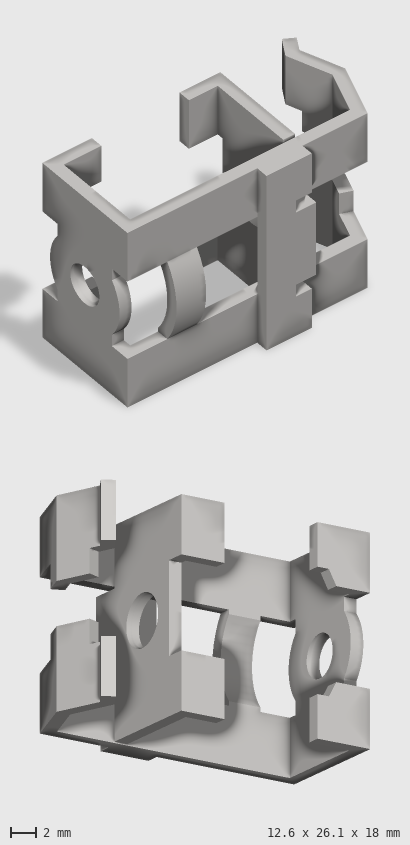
import cadquery as cq
import math

sheet = 1.2
height = 18.0
half_height = height / 2
gap_half = 4.0

web_outer_x = 11.43
web_inner_x = web_outer_x - sheet
flange_left_x = 0.45
flange_lip_end_y = 4.98
lip_notch_y = 3.91
lip_notch_z = 5.3
lip_slope_end_y = 3.2
hole_center_x = 5.92
flange_hole_radius = 1.88
flange_disc_radius = 4.5
flange_waist_half = 3.5

peak_x = 5.95
peak_y = 26.1
valley_x = 1.83
tip_x = 0.0
clip_angle = math.radians(20)
tip_angle = math.radians(30)
tab_half_gap = 1.88
tab_left_length = 3.25
tab_right_length = 2.2

arch_start_y = 4.0
arch_end_y = 6.97

plate_start_y = 13.02
plate_end_y = 17.55
shelf_outer_y = 18.0
shelf_inner_y = shelf_outer_y - sheet
shelf_left_x = 0.25
shelf_right_x = 9.91
shelf_waist_x = 2.1
shelf_lip_end_y = 13.9
shelf_hole_radius = 2.3
neck_half = 3.73
relief_end_half = 4.95
relief_start_y = 15.97


def box(x0, x1, y0, y1, z0, z1):
    """Box between opposite corners."""
    return cq.Workplane("XY").box(x1 - x0, y1 - y0, z1 - z0, centered=False).translate((x0, y0, z0))


def full_box(x0, x1, y0, y1, half=half_height):
    """Box centred in height."""
    return box(x0, x1, y0, y1, -half, half)


def prism(points, half=half_height):
    """Polygon in plan, extruded symmetrically in height."""
    return cq.Workplane("XY").polyline(points).close().extrude(half, both=True)


def cylinder_y(x, radius, y0, y1):
    """Cylinder along Y at mid height."""
    return cq.Workplane("XZ", origin=(x, y0, 0)).circle(radius).extrude(y0 - y1)


def make_clip():
    """Zigzag spring strip, with a short tab toward mid height around its peak."""
    slope = math.tan(clip_angle)
    inner_peak_y = peak_y - sheet / math.cos(clip_angle)
    valley_y = inner_peak_y - (peak_x - valley_x) * slope
    bisector = (clip_angle - tip_angle) / 2
    mitre = sheet / math.cos((clip_angle + tip_angle) / 2)
    valley_outer = (valley_x - mitre * math.sin(bisector), valley_y + mitre * math.cos(bisector))
    tip_inner = (tip_x, valley_y + (valley_x - tip_x) * math.tan(tip_angle))
    tip_outer = (tip_x + sheet * math.sin(tip_angle), tip_inner[1] + sheet * math.cos(tip_angle))
    strip = prism([
        (web_outer_x, peak_y - (web_outer_x - peak_x) * slope),
        (peak_x, peak_y),
        valley_outer,
        tip_outer,
        tip_inner,
        (valley_x, valley_y),
        (peak_x, inner_peak_y),
        (web_inner_x, inner_peak_y - (web_inner_x - peak_x) * slope),
    ]).cut(full_box(tip_x, web_outer_x, valley_y - sheet, peak_y, gap_half))

    cosine, sine = math.cos(clip_angle), math.sin(clip_angle)

    def tab_end(length, side):
        """Outer and inner corners of a tab end cut square to the sheet."""
        outer = (peak_x + side * length * cosine, peak_y - length * sine)
        inner = (outer[0] - side * sheet * sine, outer[1] - sheet * cosine)
        return outer, inner

    left_outer, left_inner = tab_end(tab_left_length, -1)
    right_outer, right_inner = tab_end(tab_right_length, 1)
    tabs = prism([
        (peak_x, peak_y), left_outer, left_inner,
        (peak_x, inner_peak_y), right_inner, right_outer,
    ]).cut(full_box(tip_x, web_outer_x, valley_y - sheet, peak_y, tab_half_gap))
    return strip.union(tabs)


def make_web():
    """Upper and lower web strips running up to the clip."""
    slope = math.tan(clip_angle)
    outer_end_y = peak_y - (web_outer_x - peak_x) * slope
    inner_end_y = peak_y - sheet / math.cos(clip_angle) - (web_inner_x - peak_x) * slope
    web = prism([
        (web_inner_x, 0), (web_outer_x, 0),
        (web_outer_x, outer_end_y), (web_inner_x, inner_end_y),
    ])
    return web.cut(full_box(web_inner_x, web_outer_x, 0, peak_y, gap_half))


def make_flange():
    """Front flange with a round centre, a hole, and a notched lip."""
    flange = full_box(flange_left_x, web_outer_x, 0, sheet)
    flange = flange.cut(full_box(flange_left_x, web_outer_x, 0, sheet, gap_half))
    waist_left_x = hole_center_x - flange_waist_half
    waist_right_x = hole_center_x + flange_waist_half
    flange = flange.union(full_box(waist_left_x, waist_right_x, 0, sheet, gap_half))
    disc = cylinder_y(hole_center_x, flange_disc_radius, 0, sheet)
    disc = disc.intersect(full_box(flange_left_x, web_outer_x, 0, sheet, gap_half))
    flange = flange.union(disc).cut(cylinder_y(hole_center_x, flange_hole_radius, 0, sheet))

    for side in (-1, 1):
        lip = (
            cq.Workplane("YZ", origin=(flange_left_x, 0, 0))
            .polyline([
                (0, side * gap_half),
                (lip_slope_end_y, side * gap_half),
                (lip_notch_y, side * lip_notch_z),
                (flange_lip_end_y, side * lip_notch_z),
                (flange_lip_end_y, side * half_height),
                (0, side * half_height),
            ])
            .close()
            .extrude(sheet)
        )
        flange = flange.union(lip)
    return flange


def make_arch():
    """Bowed bridge one sheet thick, rising one sheet beyond the web."""
    outer_radius = (gap_half ** 2 + sheet ** 2) / (2 * sheet)
    center_x = web_outer_x + sheet - outer_radius
    arch = cylinder_y(center_x, outer_radius, arch_start_y, arch_end_y)
    arch = arch.cut(cylinder_y(center_x, outer_radius - sheet, arch_start_y, arch_end_y))
    return arch.intersect(full_box(web_inner_x, web_outer_x + sheet, arch_start_y, arch_end_y, gap_half))


def make_bracket():
    """Backing plate, neck through the web, and lipped shelf with a hole."""
    plate_outer_x = web_outer_x + sheet
    plate = full_box(web_outer_x, plate_outer_x, plate_start_y, plate_end_y)
    for z0, z1 in ((neck_half, relief_end_half), (-relief_end_half, -neck_half)):
        plate = plate.cut(box(web_outer_x, plate_outer_x, relief_start_y, plate_end_y, z0, z1))
    neck = full_box(shelf_right_x, plate_outer_x, shelf_inner_y, shelf_outer_y, neck_half)
    shelf = full_box(shelf_left_x, shelf_right_x, shelf_inner_y, shelf_outer_y)
    lip = full_box(shelf_left_x, shelf_left_x + sheet, shelf_lip_end_y, shelf_outer_y)
    shelf = shelf.union(lip)
    shelf = shelf.cut(full_box(shelf_left_x, shelf_waist_x, shelf_lip_end_y, shelf_outer_y, gap_half))
    shelf = shelf.cut(cylinder_y(hole_center_x, shelf_hole_radius, shelf_inner_y, shelf_outer_y))
    return plate.union(neck).union(shelf)


result = make_web().union(make_flange()).union(make_clip()).union(make_arch()).union(make_bracket())